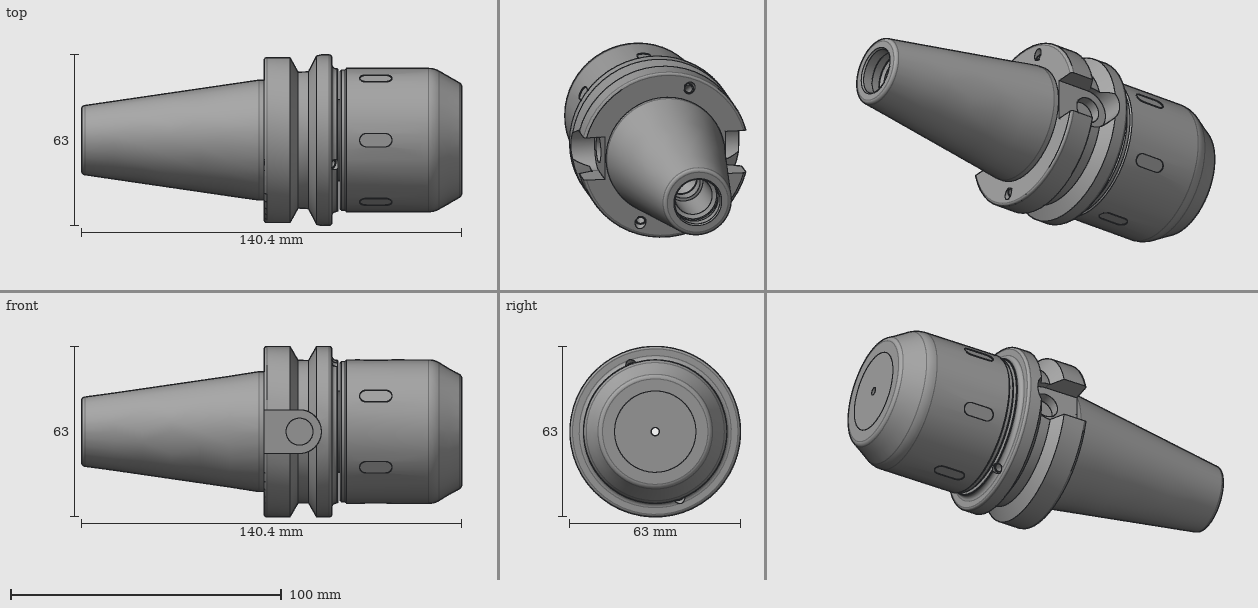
import cadquery as cq
import math


LENGTH = 140.4
TOLERANCE = 0.001

GAUGE_X = 65.4
GAUGE_RADIUS = 22.2
TAPER_RATIO = 7 / 48
SMALL_END_RADIUS = GAUGE_RADIUS - GAUGE_X * TAPER_RATIO
SMALL_END_FILLET = 1.4

FLANGE_DIAMETER = 63.0
FLANGE_RADIUS = FLANGE_DIAMETER / 2
FLANGE_START = 67.4
FLANGE_END = 92.4
FLANGE_FILLET = 1.0
GROOVE_LEFT = 77.0
GROOVE_RIGHT = 86.8
GROOVE_RADIUS = 26.4
GROOVE_SIDE_ANGLE = math.radians(30)
GROOVE_SIDE = (FLANGE_RADIUS - GROOVE_RADIUS) * math.tan(GROOVE_SIDE_ANGLE)

COLLAR_END = 94.6
COLLAR_RADIUS = 26.4
COLLAR_FILLET = 1.7
COLLAR_CHAMFER = 0.3
CORE_RADIUS = 15.0

MOUTH_DIAMETER = 18.0
PILOT_DIAMETER = 17.0
RELIEF_DIAMETER = 18.0
THREAD_DIAMETER = 14.0
SEAT_DIAMETER = 12.0
FUNNEL_DIAMETER = 11.4
FUNNEL_END_DIAMETER = 4.0
COOLANT_DIAMETER = 3.0
PILOT_START = 0.7
PILOT_END = 4.6
RELIEF_END = 8.0
THREAD_START = 8.8
THREAD_END = 28.1
FUNNEL_START = 33.7
FUNNEL_SLOPE = math.tan(math.radians(30))

SLOT_WIDTH = 16.1
SLOT_FLOOR = 22.6
SLOT_CENTRE_X = 80.5
SLOT_OVERSHOOT = 1.4
SLOT_HOLE_DIAMETER = 10.0
SLOT_HOLE_DEPTH = 4.2

PORT_ANGLE = 20.0
INLET_RADIUS = 27.0
INLET_SLANT = math.radians(30)
OUTLET_X = 93.4
OUTLET_RADIUS = COLLAR_RADIUS
OUTLET_SLANT = math.radians(45)
PORT_MOUTH_DIAMETER = 4.0
PORT_MOUTH_DEPTH = 1.3
PORT_DIAMETER = 3.0
PORT_DEPTH = 8.4
PORT_OVERSHOOT = 2.8

NUT_START = 95.3
NUT_RADIUS = 26.5
RIM_RADIUS = 26.0
RIM_CHAMFER = 0.7
RIM_END = 97.3
NUT_SHOULDER_X = 97.9
NOSE_START = 128.0
NOSE_ANGLE = math.radians(30)
NOSE_BLEND_RADIUS = 7.7
FRONT_FILLET = 2.0

SPANNER_SLOTS = 6
SPANNER_START = 102.6
SPANNER_END = 114.5
SPANNER_WIDTH = 4.9
SPANNER_DEPTH = 0.4


def turned(profile):
    """Turn a closed profile, given as a sketch in X and radius, about the X axis."""
    return profile.close().revolve(360, (0, 0, 0), (1, 0, 0))


def rod(start, direction, diameter, length):
    """A round rod from a start point along a direction."""
    return cq.Workplane(cq.Solid.makeCylinder(diameter / 2, length, cq.Vector(*start), cq.Vector(*direction)))


def circle_at(body, x, radius):
    """The circular edge of a turned body with the given radius at the given X."""
    circles = [
        edge
        for edge in body.edges("%CIRCLE").vals()
        if abs(edge.Center().x - x) < TOLERANCE and abs(edge.radius() - radius) < TOLERANCE
    ]
    return body.newObject(circles)


def shank_blank():
    blank = turned(
        cq.Workplane("XY")
        .lineTo(0, SMALL_END_RADIUS)
        .lineTo(GAUGE_X, GAUGE_RADIUS)
        .lineTo(FLANGE_START, GAUGE_RADIUS)
        .lineTo(FLANGE_START, FLANGE_RADIUS)
        .lineTo(GROOVE_LEFT, FLANGE_RADIUS)
        .lineTo(GROOVE_LEFT + GROOVE_SIDE, GROOVE_RADIUS)
        .lineTo(GROOVE_RIGHT - GROOVE_SIDE, GROOVE_RADIUS)
        .lineTo(GROOVE_RIGHT, FLANGE_RADIUS)
        .lineTo(FLANGE_END, FLANGE_RADIUS)
        .lineTo(FLANGE_END, COLLAR_RADIUS)
        .lineTo(COLLAR_END, COLLAR_RADIUS)
        .lineTo(COLLAR_END, CORE_RADIUS)
        .lineTo(LENGTH, CORE_RADIUS)
        .lineTo(LENGTH, 0)
    )

    blank = circle_at(blank, 0, SMALL_END_RADIUS).fillet(SMALL_END_FILLET)
    blank = circle_at(blank, FLANGE_START, FLANGE_RADIUS).fillet(FLANGE_FILLET)
    blank = circle_at(blank, FLANGE_END, FLANGE_RADIUS).fillet(FLANGE_FILLET)
    blank = circle_at(blank, FLANGE_END, COLLAR_RADIUS).fillet(COLLAR_FILLET)
    return circle_at(blank, COLLAR_END, COLLAR_RADIUS).chamfer(COLLAR_CHAMFER)


def shank_bore():
    funnel_end = FUNNEL_START + (FUNNEL_DIAMETER - FUNNEL_END_DIAMETER) / 2 / FUNNEL_SLOPE
    return turned(
        cq.Workplane("XY")
        .lineTo(0, MOUTH_DIAMETER / 2)
        .lineTo(PILOT_START, PILOT_DIAMETER / 2)
        .lineTo(PILOT_END, PILOT_DIAMETER / 2)
        .lineTo(PILOT_END, RELIEF_DIAMETER / 2)
        .lineTo(RELIEF_END, RELIEF_DIAMETER / 2)
        .lineTo(RELIEF_END, PILOT_DIAMETER / 2)
        .lineTo(THREAD_START, THREAD_DIAMETER / 2)
        .lineTo(THREAD_END, THREAD_DIAMETER / 2)
        .lineTo(THREAD_END, SEAT_DIAMETER / 2)
        .lineTo(FUNNEL_START, SEAT_DIAMETER / 2)
        .lineTo(FUNNEL_START, FUNNEL_DIAMETER / 2)
        .lineTo(funnel_end, FUNNEL_END_DIAMETER / 2)
        .lineTo(funnel_end, COOLANT_DIAMETER / 2)
        .lineTo(LENGTH, COOLANT_DIAMETER / 2)
        .lineTo(LENGTH, 0)
    )


def drive_slot():
    """The slot on the -Y side, open toward the taper, with a blind hole in its floor."""
    open_end = FLANGE_START - SLOT_OVERSHOOT
    slot = (
        cq.Workplane("XZ", origin=(0, -SLOT_FLOOR, 0))
        .moveTo(open_end, -SLOT_WIDTH / 2)
        .lineTo(SLOT_CENTRE_X, -SLOT_WIDTH / 2)
        .threePointArc((SLOT_CENTRE_X + SLOT_WIDTH / 2, 0), (SLOT_CENTRE_X, SLOT_WIDTH / 2))
        .lineTo(open_end, SLOT_WIDTH / 2)
        .close()
        .extrude(FLANGE_RADIUS)
    )
    return slot.union(rod((SLOT_CENTRE_X, -SLOT_FLOOR, 0), (0, 1, 0), SLOT_HOLE_DIAMETER, SLOT_HOLE_DEPTH))


def coolant_port(x, radius, slant, direction_x):
    """A stepped hole from a mouth above the axis, running toward the axis along +X or -X."""
    direction = (direction_x * math.cos(slant), 0, -math.sin(slant))
    start = (x - direction[0] * PORT_OVERSHOOT, 0, radius - direction[2] * PORT_OVERSHOOT)
    mouth = rod(start, direction, PORT_MOUTH_DIAMETER, PORT_OVERSHOOT + PORT_MOUTH_DEPTH)
    bore = rod(start, direction, PORT_DIAMETER, PORT_OVERSHOOT + PORT_DEPTH)
    return mouth.union(bore).rotate((0, 0, 0), (1, 0, 0), PORT_ANGLE)


def make_shank():
    shank = shank_blank().cut(shank_bore())
    cutters = (
        drive_slot(),
        coolant_port(FLANGE_START, INLET_RADIUS, INLET_SLANT, 1),
        coolant_port(OUTLET_X, OUTLET_RADIUS, OUTLET_SLANT, -1),
    )
    for half_turn in (0, 180):
        for cutter in cutters:
            shank = shank.cut(cutter.rotate((0, 0, 0), (1, 0, 0), half_turn))
    return shank


def nut_blank():
    blend_end = NOSE_START + NOSE_BLEND_RADIUS * math.sin(NOSE_ANGLE)
    blend_end_radius = NUT_RADIUS - NOSE_BLEND_RADIUS * (1 - math.cos(NOSE_ANGLE))
    blend_mid = NOSE_START + NOSE_BLEND_RADIUS * math.sin(NOSE_ANGLE / 2)
    blend_mid_radius = NUT_RADIUS - NOSE_BLEND_RADIUS * (1 - math.cos(NOSE_ANGLE / 2))
    front_radius = blend_end_radius - (LENGTH - blend_end) * math.tan(NOSE_ANGLE)
    blank = turned(
        cq.Workplane("XY")
        .moveTo(NUT_START, CORE_RADIUS)
        .lineTo(NUT_START, RIM_RADIUS - RIM_CHAMFER)
        .lineTo(NUT_START + RIM_CHAMFER, RIM_RADIUS)
        .lineTo(RIM_END, RIM_RADIUS)
        .lineTo(NUT_SHOULDER_X, NUT_RADIUS)
        .lineTo(NOSE_START, NUT_RADIUS)
        .threePointArc((blend_mid, blend_mid_radius), (blend_end, blend_end_radius))
        .lineTo(LENGTH, front_radius)
        .lineTo(LENGTH, CORE_RADIUS)
    )
    return circle_at(blank, LENGTH, front_radius).fillet(FRONT_FILLET)


def spanner_slot():
    """The slot at the top of the nut, along X, with a flat floor."""
    middle = (SPANNER_START + SPANNER_END) / 2
    return (
        cq.Workplane("XY", origin=(middle, 0, NUT_RADIUS - SPANNER_DEPTH))
        .slot2D(SPANNER_END - SPANNER_START, SPANNER_WIDTH)
        .extrude(2 * SPANNER_DEPTH)
    )


def make_nut():
    nut = nut_blank()
    for index in range(SPANNER_SLOTS):
        nut = nut.cut(spanner_slot().rotate((0, 0, 0), (1, 0, 0), index * 360 / SPANNER_SLOTS))
    return nut


shank = make_shank()
nut = make_nut()

result = cq.Compound.makeCompound([shank.val(), nut.val()])